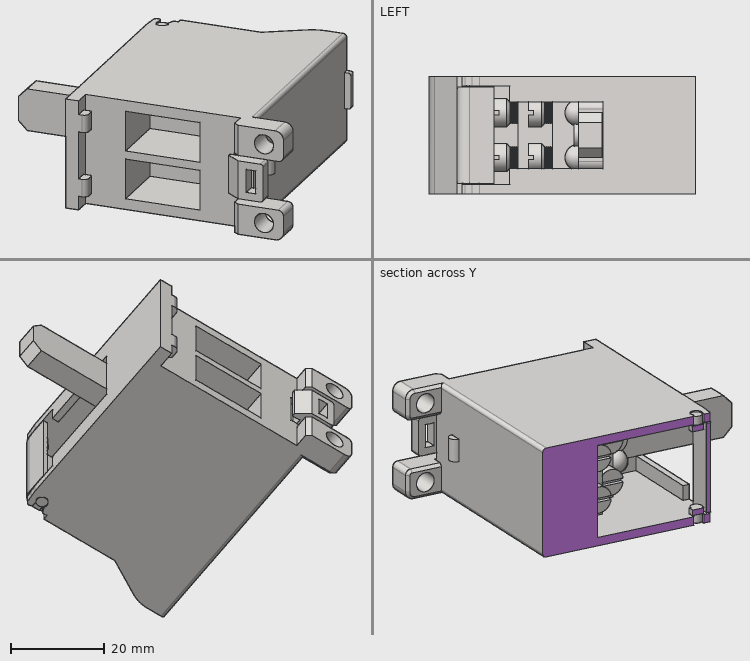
import cadquery as cq
import math


HALF_HEIGHT = 12.615
BODY_LEFT = 19.1
BODY_RIGHT = 60.95
BODY_TOP = 57.2
SHOULDER_TOP = 51.15
RAMP_START_X = 43.6
RAMP_ANGLE = 30
RAMP_RADIUS = 9.05
CORNER_RADIUS = 2.65
WALL = 1.05
FRONT_WALL = 1.6
RIGHT_EDGE_RADIUS = 0.9

CHANNEL_DEPTH = 4.0
CHANNEL_LEFT = 22.1
CHANNEL_RIGHT = 57.9
HOOK_TOP = 2.9

HOOK_REACH = 1.95
HOOK_WIDTH = 4.0
HOOK_Z = 7.45
HOOK_TIP_RADIUS = 1.1
HOOK_BACK_RADIUS = 0.55

EAR_RIGHT = 69.5
EAR_TOP = 6.2
EAR_INNER_Z = 5.6
EAR_OUTER_RADIUS = 1.95
EAR_INNER_RADIUS = 1.25
EAR_EDGE_CHAMFER = 0.7
EAR_HOLE_DIAMETER = 4.4
EAR_HOLE_X = 65.0
EAR_HOLE_Z = 9.1
GAP_CORNER_RADIUS = 0.9

LATCH_LEFT = 55.95
LATCH_RIGHT = 64.8
LATCH_HALF_WIDTH = 4.4
LATCH_NOSE_Y = 2.15
LATCH_SLOPE_END_X = 59.0
LATCH_CORNER_RADIUS = 0.6
LATCH_POCKET_LEFT = 56.35
LATCH_POCKET_HALF = 4.25
LATCH_POCKET_DEPTH = 1.4
LATCH_WINDOW_LEFT = 60.9
LATCH_WINDOW_RIGHT = 63.05
LATCH_WINDOW_HALF = 2.65

BUMP_Y = 12.15
BUMP_RADIUS = 1.5
BUMP_HALF_LENGTH = 2.6
LIP_REACH = 1.45
LIP_HEIGHT = 1.4
LIP_HALF_LENGTH = 4.2
LIP_RADIUS = 0.55

ENTRY_LEFT = 31.35
ENTRY_RIGHT = 48.5
ENTRY_HEIGHT = 9.2
ENTRY_RIB = 1.9
ENTRY_DEPTH = 13.9

CAVITY_BACK = 47.25
CAVITY_HALF = 10.55
WINDOW_HALF = 7.15
WINDOW_BOTTOM = 19.9
WINDOW_STEP_Y = 39.9

BLADE_BOTTOM = 20.1
BLADE_TOP = 25.15
BLADE_HALF_WIDTH = 4.83
BLADE_CHAMFER = 2.1
BUSBAR_LEFT = 25.7
BUSBAR_HALF_WIDTH = 7.7
BUSBAR_CORNER_RADIUS = 2.1

LOW_TERRACE_X = 32.65
LOW_TERRACE_Y = 30.65
HIGH_TERRACE_X = 39.6
HIGH_TERRACE_Y = 38.1
SCREW_DIAMETER = 6.05
SCREW_HEIGHT = 5.15
SCREW_BASE_CHAMFER = 0.7
SCREW_THREAD_COUNT = 4
SCREW_THREAD_PITCH = 0.4
SCREW_THREAD_DEPTH = 0.3
SCREW_BASE_HEIGHT = 2.4
SCREW_SLOT_WIDTH = 0.9
SCREW_SLOT_DEPTH = 1.05
SCREW_Z = 4.8
BUS_DOME_RADIUS = 2.85
BUS_STUD_RADIUS = 2.7
BUS_STUD_HEIGHT = 1.0

COVER_HALF = 10.35
COVER_BOTTOM = 43.2
COVER_THICKNESS = 1.05
COVER_END_X = 23.8
COVER_GAP_END_X = 24.9
PIN_X = 22.0
PIN_Y = 47.8
PIN_RADIUS = 1.3
PIN_RECESS = 0.3
ARM_WIDTH = 1.4
THROAT_HALF = 1.1
CHEEK_TOP = 50.05
CHEEK_RADIUS = 0.7
CHEEK_TAPER = ((19.4, 49.4), (19.25, 47.95), (BODY_LEFT, 46.3))
CHEEK_NOSE_RADIUS = 0.8
COVER_LUG_SETBACK = 0.35


def box(x_range, y_range, z_range):
    """Axis-aligned block between the given limits."""
    (x0, x1), (y0, y1), (z0, z1) = x_range, y_range, z_range
    return cq.Workplane("XY").box(x1 - x0, y1 - y0, z1 - z0, centered=False).translate((x0, y0, z0))


def slab(outline, z0, z1):
    """Extrude a closed XY outline between two Z levels."""
    return outline.extrude(z1 - z0).translate((0, 0, z0))


def both_ends(shape):
    """Join a shape with its mirror image across the middle plane."""
    return shape.union(shape.mirror("XY"))


def post(x, y, z, radius, height):
    """Cylinder standing on a terrace along +Y."""
    return cq.Workplane("XZ", origin=(x, y, z)).circle(radius).extrude(-height)


def latch_slope_y(x):
    """Height of the sloped lead-in shared by the latch and the ears."""
    return LATCH_NOSE_Y * (LATCH_SLOPE_END_X - x) / (LATCH_SLOPE_END_X - LATCH_LEFT)


def make_housing():
    angle = math.radians(RAMP_ANGLE)
    ramp_end_y = BODY_TOP - RAMP_RADIUS * (1 - math.cos(angle))
    ramp_end_x = RAMP_START_X + (ramp_end_y - SHOULDER_TOP) / math.tan(angle)
    crest_x = ramp_end_x + RAMP_RADIUS * math.sin(angle)
    outline = (
        cq.Workplane("XY")
        .moveTo(BODY_LEFT, 0)
        .lineTo(CHANNEL_LEFT, 0)
        .lineTo(CHANNEL_LEFT, CHANNEL_DEPTH)
        .lineTo(CHANNEL_RIGHT, CHANNEL_DEPTH)
        .lineTo(CHANNEL_RIGHT, latch_slope_y(CHANNEL_RIGHT))
        .lineTo(LATCH_SLOPE_END_X, 0)
        .lineTo(BODY_RIGHT, 0)
        .lineTo(BODY_RIGHT, BODY_TOP)
        .lineTo(crest_x, BODY_TOP)
        .tangentArcPoint((ramp_end_x, ramp_end_y), relative=False)
        .lineTo(RAMP_START_X, SHOULDER_TOP)
        .lineTo(BODY_LEFT + CORNER_RADIUS, SHOULDER_TOP)
        .tangentArcPoint((BODY_LEFT, SHOULDER_TOP - CORNER_RADIUS), relative=False)
        .close()
    )
    housing = slab(outline, -HALF_HEIGHT, HALF_HEIGHT)
    return housing.faces(">X").edges("|Y").fillet(RIGHT_EDGE_RADIUS)


def make_ear():
    ear = box((LATCH_SLOPE_END_X, EAR_RIGHT), (0, EAR_TOP), (EAR_INNER_Z, HALF_HEIGHT))
    ear = ear.edges("|Y and >X and >Z").fillet(EAR_OUTER_RADIUS)
    ear = ear.edges("|Y and >X and <Z").fillet(EAR_INNER_RADIUS)
    ear = ear.faces(">Y").edges(">Z").chamfer(EAR_EDGE_CHAMFER)
    return ear.cut(post(EAR_HOLE_X, 0, EAR_HOLE_Z, EAR_HOLE_DIAMETER / 2, EAR_TOP))


def make_latch_gap():
    """Space between the ears, rounded where its floor meets the ear sides."""
    entry = box((CHANNEL_RIGHT, LATCH_SLOPE_END_X), (0, CHANNEL_DEPTH), (-EAR_INNER_Z, EAR_INNER_Z))
    gap = box((LATCH_SLOPE_END_X, BODY_RIGHT), (0, CHANNEL_DEPTH), (-EAR_INNER_Z, EAR_INNER_Z))
    gap = gap.edges("|X and >Y").fillet(GAP_CORNER_RADIUS)
    return entry.union(gap)


def make_latch():
    outline = (
        cq.Workplane("XY")
        .moveTo(LATCH_SLOPE_END_X, 0)
        .lineTo(LATCH_RIGHT, 0)
        .lineTo(LATCH_RIGHT, HOOK_TOP)
        .lineTo(LATCH_LEFT, HOOK_TOP)
        .lineTo(LATCH_LEFT, LATCH_NOSE_Y)
        .close()
    )
    latch = slab(outline, -LATCH_HALF_WIDTH, LATCH_HALF_WIDTH)
    latch = latch.edges("|Y and >X").fillet(LATCH_CORNER_RADIUS)
    window = box(
        (LATCH_WINDOW_LEFT, LATCH_WINDOW_RIGHT), (0, HOOK_TOP), (-LATCH_WINDOW_HALF, LATCH_WINDOW_HALF)
    )
    stem = box(
        (CHANNEL_RIGHT, LATCH_SLOPE_END_X), (HOOK_TOP, CHANNEL_DEPTH), (-LATCH_HALF_WIDTH, LATCH_HALF_WIDTH)
    )
    return latch.cut(window).union(stem)


def make_latch_pocket():
    """Recess in the channel floor beside the latch."""
    return box(
        (LATCH_POCKET_LEFT, CHANNEL_RIGHT),
        (CHANNEL_DEPTH, CHANNEL_DEPTH + LATCH_POCKET_DEPTH),
        (-LATCH_POCKET_HALF, LATCH_POCKET_HALF),
    )


def make_rail_hook():
    hook = box(
        (CHANNEL_LEFT, CHANNEL_LEFT + HOOK_REACH),
        (0, HOOK_TOP),
        (HOOK_Z - HOOK_WIDTH / 2, HOOK_Z + HOOK_WIDTH / 2),
    )
    hook = hook.edges("|Z and >X and <Y").fillet(HOOK_TIP_RADIUS)
    return hook.edges("|Z and >X and >Y").fillet(HOOK_BACK_RADIUS)


def make_bump():
    bump = cq.Workplane("XY").circle(BUMP_RADIUS).extrude(2 * BUMP_HALF_LENGTH)
    return bump.translate((BODY_RIGHT, BUMP_Y, -BUMP_HALF_LENGTH))


def make_lip():
    lip = box(
        (BODY_RIGHT, BODY_RIGHT + LIP_REACH),
        (BODY_TOP - LIP_HEIGHT, BODY_TOP),
        (-LIP_HALF_LENGTH, LIP_HALF_LENGTH),
    )
    return lip.edges("|Y and >X").fillet(LIP_RADIUS)


def make_cable_entry():
    return box(
        (ENTRY_LEFT, ENTRY_RIGHT),
        (CHANNEL_DEPTH, CHANNEL_DEPTH + ENTRY_DEPTH),
        (ENTRY_RIB / 2, ENTRY_RIB / 2 + ENTRY_HEIGHT),
    )


def make_cavity():
    """Terminal space with a terraced floor, its window and the cover opening."""
    inner_left = BODY_LEFT + FRONT_WALL
    ceiling = SHOULDER_TOP - WALL
    outline = (
        cq.Workplane("XY")
        .moveTo(inner_left, WINDOW_BOTTOM)
        .lineTo(LOW_TERRACE_X, WINDOW_BOTTOM)
        .lineTo(LOW_TERRACE_X, LOW_TERRACE_Y)
        .lineTo(HIGH_TERRACE_X, LOW_TERRACE_Y)
        .lineTo(HIGH_TERRACE_X, HIGH_TERRACE_Y)
        .lineTo(CAVITY_BACK, HIGH_TERRACE_Y)
        .lineTo(CAVITY_BACK, ceiling)
        .lineTo(inner_left, ceiling)
        .close()
    )
    cavity = slab(outline, -CAVITY_HALF, CAVITY_HALF)
    window = box((BODY_LEFT, inner_left), (WINDOW_BOTTOM, WINDOW_STEP_Y), (-WINDOW_HALF, WINDOW_HALF))
    cover_opening = box(
        (BODY_LEFT, COVER_GAP_END_X), (WINDOW_STEP_Y, SHOULDER_TOP), (-CAVITY_HALF, CAVITY_HALF)
    )
    return cavity.union(window).union(cover_opening)


def make_blade():
    blade = box((0, LOW_TERRACE_X), (BLADE_BOTTOM, BLADE_TOP), (-BLADE_HALF_WIDTH, BLADE_HALF_WIDTH))
    blade = blade.edges("|Y and <X").chamfer(BLADE_CHAMFER)
    busbar = box(
        (BUSBAR_LEFT, LOW_TERRACE_X), (WINDOW_BOTTOM, BLADE_TOP), (-BUSBAR_HALF_WIDTH, BUSBAR_HALF_WIDTH)
    )
    busbar = busbar.edges("|Y and <X").fillet(BUSBAR_CORNER_RADIUS)
    return blade.union(busbar)


def make_screw(x, y):
    """Slotted terminal screw with a narrower, ring-threaded foot."""
    radius = SCREW_DIAMETER / 2
    foot_radius = radius - SCREW_BASE_CHAMFER
    profile = cq.Workplane("XY").lineTo(foot_radius, 0)
    for turn in range(SCREW_THREAD_COUNT):
        root_y = (turn + 0.5) * SCREW_THREAD_PITCH
        crest_y = (turn + 1) * SCREW_THREAD_PITCH
        profile = profile.lineTo(foot_radius - SCREW_THREAD_DEPTH, root_y).lineTo(foot_radius, crest_y)
    profile = (
        profile.lineTo(foot_radius, SCREW_BASE_HEIGHT - SCREW_BASE_CHAMFER)
        .lineTo(radius, SCREW_BASE_HEIGHT)
        .lineTo(radius, SCREW_HEIGHT)
        .lineTo(0, SCREW_HEIGHT)
        .close()
    )
    screw = profile.revolve(360, (0, 0, 0), (0, 1, 0))
    slot = box(
        (-radius, radius),
        (SCREW_HEIGHT - SCREW_SLOT_DEPTH, SCREW_HEIGHT),
        (-SCREW_SLOT_WIDTH / 2, SCREW_SLOT_WIDTH / 2),
    )
    return screw.cut(slot).translate((x, y, SCREW_Z))


def make_bus_fasteners():
    """Two domed heads and a flat stud on the busbar."""
    x = (BUSBAR_LEFT + LOW_TERRACE_X) / 2
    quarter = (
        cq.Workplane("XY")
        .lineTo(BUS_DOME_RADIUS, 0)
        .radiusArc((0, BUS_DOME_RADIUS), -BUS_DOME_RADIUS)
        .close()
    )
    dome = quarter.revolve(360, (0, 0, 0), (0, 1, 0)).translate((x, BLADE_TOP, SCREW_Z))
    return both_ends(dome).union(post(x, BLADE_TOP, 0, BUS_STUD_RADIUS, BUS_STUD_HEIGHT))


def make_hinge_notch():
    """Clearance in a side wall for the cover arm, opening upward from the pin seat."""
    seat_y = PIN_Y + math.sqrt(PIN_RADIUS**2 - THROAT_HALF**2)
    outline = (
        cq.Workplane("XY")
        .moveTo(PIN_X - THROAT_HALF, seat_y)
        .lineTo(PIN_X - THROAT_HALF, CHEEK_TOP - CHEEK_RADIUS)
        .radiusArc((PIN_X - THROAT_HALF - CHEEK_RADIUS, CHEEK_TOP), -CHEEK_RADIUS)
        .radiusArc(CHEEK_TAPER[0], -CHEEK_NOSE_RADIUS)
        .lineTo(*CHEEK_TAPER[1])
        .lineTo(*CHEEK_TAPER[2])
        .lineTo(BODY_LEFT, SHOULDER_TOP)
        .lineTo(COVER_GAP_END_X, SHOULDER_TOP)
        .lineTo(COVER_GAP_END_X, CHEEK_TOP)
        .lineTo(COVER_END_X, CHEEK_TOP)
        .lineTo(PIN_X + THROAT_HALF, seat_y)
        .close()
    )
    notch = slab(outline, CAVITY_HALF, HALF_HEIGHT)
    pin_seat = cq.Workplane("XY").circle(PIN_RADIUS).extrude(PIN_RECESS)
    return notch.union(pin_seat.translate((PIN_X, PIN_Y, HALF_HEIGHT - PIN_RECESS)))


def make_cover():
    inner_x = BODY_LEFT + COVER_THICKNESS
    inner_y = SHOULDER_TOP - COVER_THICKNESS
    inner_radius = CORNER_RADIUS - COVER_THICKNESS
    outline = (
        cq.Workplane("XY")
        .moveTo(BODY_LEFT, COVER_BOTTOM)
        .lineTo(BODY_LEFT, SHOULDER_TOP - CORNER_RADIUS)
        .radiusArc((BODY_LEFT + CORNER_RADIUS, SHOULDER_TOP), CORNER_RADIUS)
        .lineTo(COVER_END_X, SHOULDER_TOP)
        .lineTo(COVER_END_X, inner_y)
        .lineTo(inner_x + inner_radius, inner_y)
        .radiusArc((inner_x, inner_y - inner_radius), -inner_radius)
        .lineTo(inner_x, COVER_BOTTOM)
        .close()
    )
    shell = slab(outline, -COVER_HALF, COVER_HALF)
    lug_half = COVER_HALF - COVER_LUG_SETBACK
    lug = box((COVER_END_X, COVER_GAP_END_X), (inner_y, SHOULDER_TOP), (-lug_half, lug_half))
    arm_start = COVER_HALF - ARM_WIDTH
    arm = box((PIN_X - THROAT_HALF, COVER_END_X), (PIN_Y, inner_y), (arm_start, COVER_HALF))
    pin = cq.Workplane("XY").circle(PIN_RADIUS).extrude(HALF_HEIGHT - PIN_RECESS - arm_start)
    return shell.union(lug).union(both_ends(arm.union(pin.translate((PIN_X, PIN_Y, arm_start)))))


result = make_housing().cut(make_latch_gap()).cut(make_latch_pocket())
result = result.cut(make_cavity()).cut(both_ends(make_cable_entry())).cut(both_ends(make_hinge_notch()))

for feature in (make_ear(), make_rail_hook()):
    result = result.union(both_ends(feature))

for feature in (make_latch(), make_bump(), make_lip(), make_blade(), make_bus_fasteners(), make_cover()):
    result = result.union(feature)

low_screw_x = (LOW_TERRACE_X + HIGH_TERRACE_X) / 2
high_screw_x = (HIGH_TERRACE_X + CAVITY_BACK) / 2
for screw_x, terrace_y in ((low_screw_x, LOW_TERRACE_Y), (high_screw_x, HIGH_TERRACE_Y)):
    result = result.union(both_ends(make_screw(screw_x, terrace_y)))